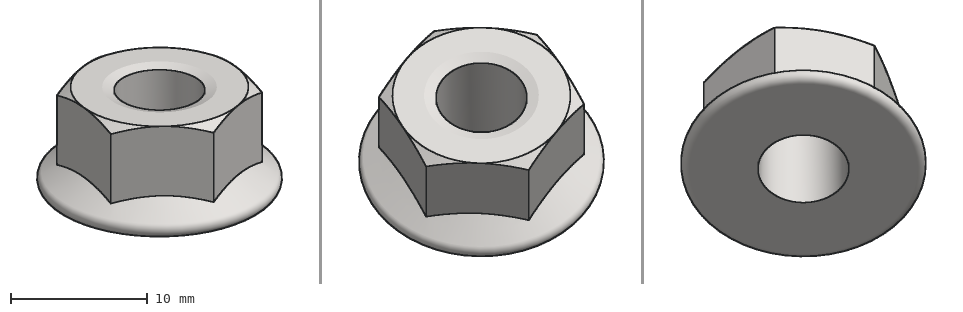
import cadquery as cq
import math

flange_diameter = 17.9
height = 8.0
across_flats = 13.0
hex_sides = 6
bore_diameter = 6.64
countersink_diameter = 8.38
countersink_depth = 0.25
rim_radius = 0.59
cone_angle = math.radians(30)

flange_radius = flange_diameter / 2
flat_radius = across_flats / 2
corner_radius = flat_radius / math.cos(math.pi / hex_sides)
slope = math.tan(cone_angle)


def make_flange():
    """Conical flange with a rounded rim tangent to its base and its sloping top."""
    rim_center = flange_radius - rim_radius
    tangent_radius = rim_center + rim_radius * math.sin(cone_angle)
    tangent_height = rim_radius * (1 + math.cos(cone_angle))
    cone_top = tangent_height + (tangent_radius - flat_radius) * slope
    return (
        cq.Workplane("XZ")
        .lineTo(rim_center, 0)
        .threePointArc((flange_radius, rim_radius), (tangent_radius, tangent_height))
        .lineTo(flat_radius, cone_top)
        .lineTo(0, cone_top)
        .close()
        .revolve(360, (0, 0, 0), (0, 1, 0))
    )


def make_hex():
    """Hexagon with corners on X, its top corners cut by a cone meeting the flats."""
    prism = cq.Workplane("XY").polygon(hex_sides, 2 * corner_radius).extrude(height)
    chamfer_drop = (flange_radius - flat_radius) * slope
    cone_envelope = (
        cq.Workplane("XZ")
        .lineTo(flange_radius, 0)
        .lineTo(flange_radius, height - chamfer_drop)
        .lineTo(flat_radius, height)
        .lineTo(0, height)
        .close()
        .revolve(360, (0, 0, 0), (0, 1, 0))
    )
    return prism.intersect(cone_envelope)


def make_bore():
    """Through bore with a shallow countersink at the top."""
    bore_radius = bore_diameter / 2
    return (
        cq.Workplane("XZ")
        .lineTo(bore_radius, 0)
        .lineTo(bore_radius, height - countersink_depth)
        .lineTo(countersink_diameter / 2, height)
        .lineTo(0, height)
        .close()
        .revolve(360, (0, 0, 0), (0, 1, 0))
    )


result = make_flange().union(make_hex()).cut(make_bore())